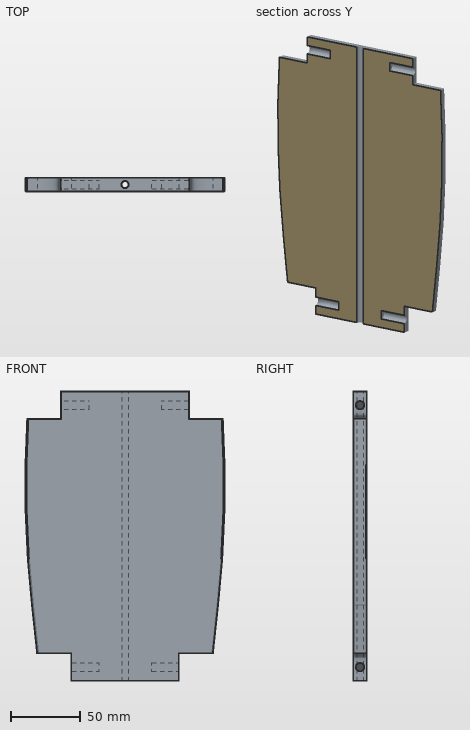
import cadquery as cq
import math

thickness = 10.0
height = 209.0
tab_height = 19.75
top_tab_width = 92.5
bottom_tab_width = 77.75

side_radius = 780.0
max_width = 144.34
widest_z = 37.3
arc_end_z = -49.5
bottom_body_width = 127.1
side_fillet = 1.0

long_hole_diameter = 5.0
tab_hole_diameter = 6.0
tab_hole_depth = 20.0

top_z = height / 2
shoulder_z = top_z - tab_height


def side_x(z):
    """Half width of the body on the side arc at height z."""
    return max_width / 2 - side_radius + math.sqrt(side_radius**2 - (z - widest_z) ** 2)


def extrude_through_thickness(outline):
    """Solid of a closed XZ outline, centred on Y = 0."""
    return outline.close().extrude(thickness / 2, both=True)


def make_body():
    """Bulged plate between the shoulders, with its sides rounded along both faces."""
    bottom_x = bottom_body_width / 2
    shoulder_x = side_x(shoulder_z)
    arc_end_x = side_x(arc_end_z)
    widest_x = max_width / 2
    outline = (
        cq.Workplane("XZ")
        .moveTo(-bottom_x, -shoulder_z)
        .lineTo(bottom_x, -shoulder_z)
        .lineTo(arc_end_x, arc_end_z)
        .threePointArc((widest_x, widest_z), (shoulder_x, shoulder_z))
        .lineTo(-shoulder_x, shoulder_z)
        .threePointArc((-widest_x, widest_z), (-arc_end_x, arc_end_z))
    )
    body = extrude_through_thickness(outline)
    long_edges = body.faces("<Y or >Y").edges("not |X")
    return long_edges.fillet(side_fillet)


def make_tab(width, direction):
    """Square-edged tab beyond a shoulder; direction is +1 at the top, -1 at the bottom."""
    centre_z = direction * (top_z - tab_height / 2)
    return cq.Workplane("XY").box(width, thickness, tab_height).translate((0, 0, centre_z))


def make_tab_holes(width, direction):
    """Blind holes bored along X into both ends of a tab."""
    centre_z = direction * (top_z - tab_height / 2)
    hole = cq.Workplane("YZ").circle(tab_hole_diameter / 2).extrude(tab_hole_depth)
    right_hole = hole.translate((width / 2 - tab_hole_depth, 0, centre_z))
    left_hole = hole.translate((-width / 2, 0, centre_z))
    return right_hole.union(left_hole)


def make_long_hole():
    """Hole through the full height of the plate."""
    return cq.Workplane("XY").circle(long_hole_diameter / 2).extrude(height / 2, both=True)


tabs = ((top_tab_width, 1), (bottom_tab_width, -1))

result = make_body()
for tab_width, tab_direction in tabs:
    result = result.union(make_tab(tab_width, tab_direction))
for tab_width, tab_direction in tabs:
    result = result.cut(make_tab_holes(tab_width, tab_direction))
result = result.cut(make_long_hole())